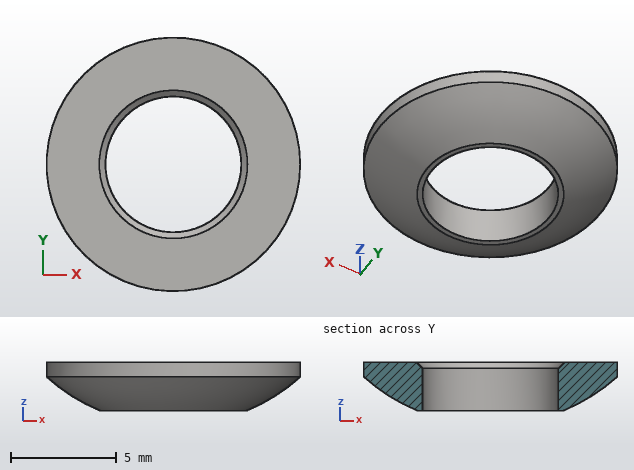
import cadquery as cq
import math

outer_radius = 6.0
hole_radius = 3.2
height = 2.3
seat_sphere_radius = 9.0
bottom_radius = 3.47
chamfer = 0.3


def sphere_drop(radius):
    """Distance from the sphere centre down to the seat at a given radius."""
    return math.sqrt(seat_sphere_radius**2 - radius**2)


sphere_center_z = sphere_drop(bottom_radius)
rim_bottom_z = sphere_center_z - sphere_drop(outer_radius)
mid_radius = (bottom_radius + outer_radius) / 2
mid_z = sphere_center_z - sphere_drop(mid_radius)

section = (
    cq.Workplane("XZ")
    .moveTo(hole_radius, 0)
    .lineTo(bottom_radius, 0)
    .threePointArc((mid_radius, mid_z), (outer_radius, rim_bottom_z))
    .lineTo(outer_radius, height)
    .lineTo(hole_radius + chamfer, height)
    .lineTo(hole_radius, height - chamfer)
    .close()
)

result = section.revolve(360, (0, 0, 0), (0, 1, 0))